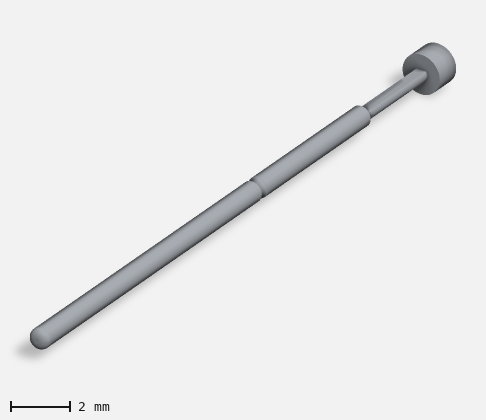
import cadquery as cq

total_length = 24.4
head_diameter = 1.5
head_length = 1.0

plunger_diameter = 0.51
plunger_length = 3.65
flat_height = 0.17

barrel_diameter = 0.78
tip_length = 0.27
tip_flat_diameter = 0.2
groove_width = 0.37
groove_depth = 0.07
groove_from_barrel_end = 6.45

head_radius = head_diameter / 2
plunger_radius = plunger_diameter / 2
barrel_radius = barrel_diameter / 2
tip_flat_radius = tip_flat_diameter / 2

tip_y = -total_length / 2
head_end_y = total_length / 2
head_base_y = head_end_y - head_length
barrel_end_y = head_base_y - plunger_length
groove_y = barrel_end_y - groove_from_barrel_end


def make_barrel():
    """Revolve the barrel, including its rounded tip and rolled groove."""
    return (
        cq.Workplane("XY")
        .moveTo(0, tip_y)
        .lineTo(tip_flat_radius, tip_y)
        .ellipseArc(
            barrel_radius - tip_flat_radius, tip_length, -90, 0, startAtCurrent=True
        )
        .lineTo(barrel_radius, groove_y - groove_width / 2)
        .threePointArc(
            (barrel_radius - groove_depth, groove_y),
            (barrel_radius, groove_y + groove_width / 2),
        )
        .lineTo(barrel_radius, barrel_end_y)
        .lineTo(0, barrel_end_y)
        .close()
        .revolve(360, (0, 0, 0), (0, 1, 0))
    )


def make_cylinder(radius, start_y, length):
    """Cylinder on the Y axis, growing toward +Y from start_y."""
    start = cq.Vector(0, start_y, 0)
    direction = cq.Vector(0, 1, 0)
    return cq.Workplane(cq.Solid.makeCylinder(radius, length, start, direction))


def make_plunger():
    """Plunger rod with everything above the flat removed."""
    rod = make_cylinder(plunger_radius, barrel_end_y, plunger_length)
    below_flat = (
        cq.Workplane("XY")
        .workplane(offset=flat_height)
        .center(0, barrel_end_y)
        .rect(plunger_diameter, 2 * plunger_length)
        .extrude(-plunger_diameter)
    )
    return rod.intersect(below_flat)


head = make_cylinder(head_radius, head_base_y, head_length)
result = make_barrel().union(make_plunger()).union(head)